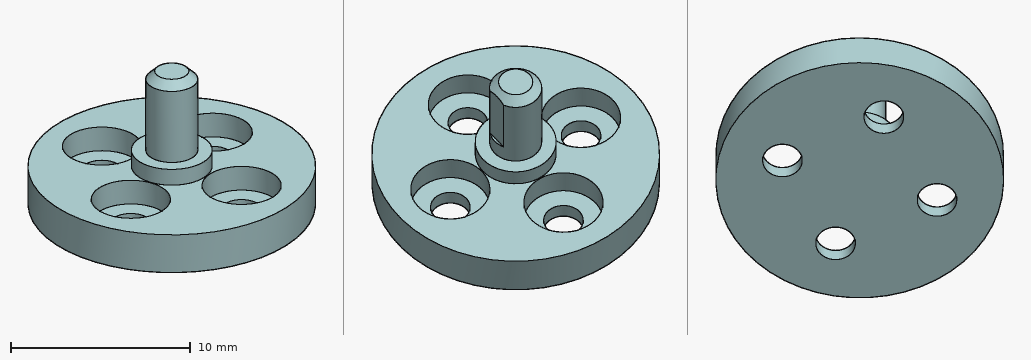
import cadquery as cq

DISC_DIAMETER = 16.0
DISC_THICKNESS = 2.4

COLLAR_DIAMETER = 4.5
COLLAR_HEIGHT = 1.0

PIN_DIAMETER = 2.9
PIN_LENGTH = 5.0
PIN_CHAMFER = 0.5
FLAT_OFFSET = 1.3
FLAT_START = 1.0

HOLE_COUNT = 4
HOLE_CIRCLE_RADIUS = 4.5
HOLE_DIAMETER = 2.2
COUNTERBORE_DIAMETER = 4.4
COUNTERBORE_DEPTH = 1.5

COLLAR_TOP = DISC_THICKNESS + COLLAR_HEIGHT


def make_disc():
    """Base disc with a ring of counterbored through holes."""
    disc = cq.Workplane("XY").circle(DISC_DIAMETER / 2).extrude(DISC_THICKNESS)
    return (
        disc.faces(">Z")
        .workplane()
        .polarArray(HOLE_CIRCLE_RADIUS, 0, 360, HOLE_COUNT)
        .cboreHole(HOLE_DIAMETER, COUNTERBORE_DIAMETER, COUNTERBORE_DEPTH)
    )


def make_collar():
    """Low round shoulder standing on the disc."""
    collar = cq.Workplane("XY").workplane(offset=DISC_THICKNESS)
    return collar.circle(COLLAR_DIAMETER / 2).extrude(COLLAR_HEIGHT)


def make_pin():
    """Chamfered pin standing on the collar, flattened on its +Y side."""
    pin = (
        cq.Workplane("XY")
        .workplane(offset=COLLAR_TOP)
        .circle(PIN_DIAMETER / 2)
        .extrude(PIN_LENGTH)
        .faces(">Z")
        .chamfer(PIN_CHAMFER)
    )
    flat_cutter = (
        cq.Workplane("XY")
        .box(PIN_DIAMETER, PIN_DIAMETER, PIN_LENGTH, centered=(True, False, False))
        .translate((0, FLAT_OFFSET, COLLAR_TOP + FLAT_START))
    )
    return pin.cut(flat_cutter)


result = make_disc().union(make_collar()).union(make_pin())